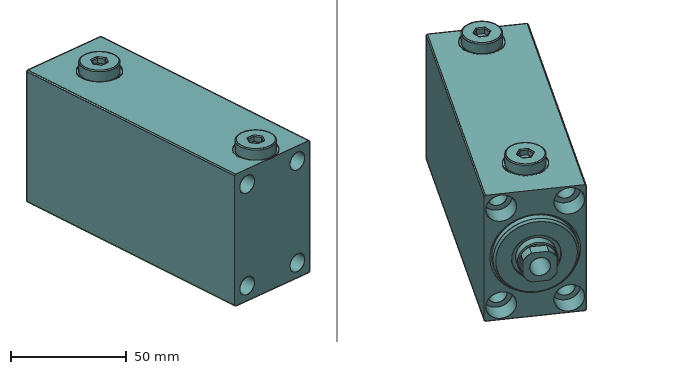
import cadquery as cq
import math


OVERALL_LENGTH = 141.0
ROD_PROTRUSION = 11.0
BLOCK_LENGTH = OVERALL_LENGTH - ROD_PROTRUSION
BLOCK_WIDTH = 45.0
BLOCK_HEIGHT = 65.0
BLOCK_CHAMFER = 0.5

BOLT_SPACING_Y = 30.0
BOLT_SPACING_Z = 50.0
BOLT_HOLE_DIAMETER = 8.7
COUNTERBORE_DIAMETER = 13.5
COUNTERBORE_DEPTH = 9.0

GLAND_DIAMETER = 37.9
GLAND_PROTRUSION = 3.0
GLAND_DEPTH = 20.0
GLAND_CHAMFER = 1.0
BORE_MOUTH_CHAMFER = 1.0
WIPER_RECESS_DIAMETER = 21.9
WIPER_RECESS_DEPTH = 1.4

ROD_DIAMETER = 17.9
ROD_CHAMFER = 0.5
TIP_LENGTH = 5.0
TIP_DIAMETER = 16.8
TIP_ACROSS_FLATS = 15.0
TIP_HOLE_DIAMETER = 9.2
TIP_HOLE_DEPTH = 15.0
DRILL_POINT_ANGLE = 118

PLUG_DIAMETER = 17.9
PLUG_PROTRUSION = 5.0
PLUG_CHAMFER = 0.5
PLUG_POSITIONS = (22.0, 119.7)
SPOTFACE_DIAMETER = 20.0
SPOTFACE_DEPTH = 0.5
HEXAGON_SIDES = 6
SOCKET_ACROSS_FLATS = 5.9
SOCKET_DEPTH = 3.0
SOCKET_CHAMFER = 0.5


def cylinder_along_x(diameter, start, end):
    """Cylinder on the rod axis between two X positions."""
    return cq.Workplane("YZ", origin=(start, 0, 0)).circle(diameter / 2).extrude(end - start)


def make_block():
    block = cq.Workplane("XY").box(BLOCK_LENGTH, BLOCK_WIDTH, BLOCK_HEIGHT)
    block = block.translate((BLOCK_LENGTH / 2, 0, 0))
    block = block.edges("|X").chamfer(BLOCK_CHAMFER)

    block = (
        block.faces("<X").workplane(centerOption="CenterOfBoundBox")
        .rarray(BOLT_SPACING_Y, BOLT_SPACING_Z, 2, 2)
        .cboreHole(BOLT_HOLE_DIAMETER, COUNTERBORE_DIAMETER, COUNTERBORE_DEPTH)
    )

    bore_radius = GLAND_DIAMETER / 2
    mouth_radius = bore_radius + BORE_MOUTH_CHAMFER
    bore = (
        cq.Workplane("XY")
        .polyline([
            (0, 0),
            (0, mouth_radius),
            (BORE_MOUTH_CHAMFER, bore_radius),
            (GLAND_DEPTH, bore_radius),
            (GLAND_DEPTH, 0),
        ])
        .close()
        .revolve(360, (0, 0, 0), (1, 0, 0))
    )
    block = block.cut(bore)

    spotfaces = (
        cq.Workplane("XY", origin=(0, 0, BLOCK_HEIGHT / 2))
        .pushPoints([(x, 0) for x in PLUG_POSITIONS])
        .circle(SPOTFACE_DIAMETER / 2)
        .extrude(-SPOTFACE_DEPTH)
    )
    return block.cut(spotfaces)


def make_gland():
    front = -GLAND_PROTRUSION
    gland = cylinder_along_x(GLAND_DIAMETER, front, GLAND_DEPTH)
    gland = gland.faces("<X").edges().chamfer(GLAND_CHAMFER)
    gland = gland.cut(cylinder_along_x(ROD_DIAMETER, front, GLAND_DEPTH))
    return gland.cut(cylinder_along_x(WIPER_RECESS_DIAMETER, front, front + WIPER_RECESS_DEPTH))


def make_rod():
    tip_end = -ROD_PROTRUSION
    shoulder = tip_end + TIP_LENGTH
    shank = cylinder_along_x(ROD_DIAMETER, shoulder, GLAND_DEPTH)
    shank = shank.faces("<X").edges().chamfer(ROD_CHAMFER)

    square = (
        cq.Workplane("YZ", origin=(tip_end, 0, 0))
        .rect(TIP_ACROSS_FLATS, TIP_ACROSS_FLATS)
        .extrude(TIP_LENGTH)
    )
    tip = cylinder_along_x(TIP_DIAMETER, tip_end, shoulder).intersect(square)
    rod = shank.union(tip)

    hole_radius = TIP_HOLE_DIAMETER / 2
    hole_bottom = tip_end + TIP_HOLE_DEPTH
    point_length = hole_radius / math.tan(math.radians(DRILL_POINT_ANGLE / 2))
    tip_hole = (
        cq.Workplane("XY")
        .polyline([
            (tip_end, 0),
            (tip_end, hole_radius),
            (hole_bottom, hole_radius),
            (hole_bottom + point_length, 0),
        ])
        .close()
        .revolve(360, (0, 0, 0), (1, 0, 0))
    )
    return rod.cut(tip_hole)


def hexagon_circumdiameter(across_flats):
    """Corner-to-corner size of a regular hexagon."""
    return across_flats / math.cos(math.pi / HEXAGON_SIDES)


def make_plug(x):
    seat = BLOCK_HEIGHT / 2 - SPOTFACE_DEPTH
    top = BLOCK_HEIGHT / 2 + PLUG_PROTRUSION
    plug = cq.Workplane("XY", origin=(x, 0, seat)).circle(PLUG_DIAMETER / 2).extrude(top - seat)
    plug = plug.faces(">Z").edges().chamfer(PLUG_CHAMFER)

    socket_plane = cq.Workplane("XY", origin=(x, 0, top)).transformed(rotate=(0, 0, 90))
    socket = (
        socket_plane.polygon(HEXAGON_SIDES, hexagon_circumdiameter(SOCKET_ACROSS_FLATS))
        .extrude(-SOCKET_DEPTH)
    )
    mouth_across_flats = SOCKET_ACROSS_FLATS + 2 * SOCKET_CHAMFER
    mouth = (
        socket_plane.polygon(HEXAGON_SIDES, hexagon_circumdiameter(mouth_across_flats))
        .workplane(offset=-SOCKET_CHAMFER)
        .polygon(HEXAGON_SIDES, hexagon_circumdiameter(SOCKET_ACROSS_FLATS))
        .loft(ruled=True)
    )
    return plug.cut(socket).cut(mouth)


block = make_block()
gland = make_gland()
rod = make_rod()
plugs = [make_plug(x).val() for x in PLUG_POSITIONS]

result = cq.Compound.makeCompound([block.val(), gland.val(), rod.val(), *plugs])